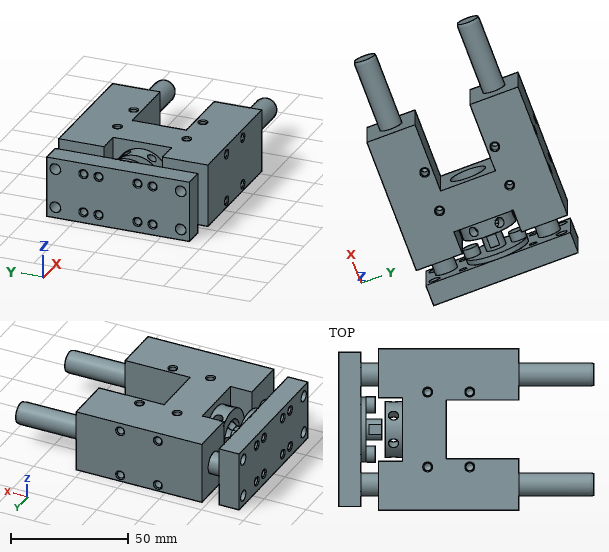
import cadquery as cq
import math


plate_thickness = 9.5
plate_width = 66.0
plate_height = 28.0
plate_bottom = -plate_height / 2

corner_hole_diameter = 4.92
corner_hole_y = 29.0
tapped_hole_ys = (9.0, 16.0)
plate_hole_z = 9.0

rod_diameter = 10.0
rod_offset = 23.5
rod_end = 109.0
rod_chamfer_length = 1.4
rod_chamfer_depth = 0.3

flange_diameter = 27.8
flange_thickness = 2.2
screw_head_diameter = 7.0
screw_head_height = 4.0
screw_offset = 10.5
stub_diameter = 9.0
stub_end = 18.5
stub_across_flats = 8.0
stub_flats_start = 13.0

block_start = 17.0
block_length = 60.0
block_width = 69.0
block_height = 29.0
block_end = block_start + block_length
block_top = plate_bottom + block_height

nut_recess_depth = 10.2
nut_recess_width = 27.0
cylinder_slot_start = 46.0
cylinder_slot_width = 25.0

nut_diameter = 24.0
nut_bore_diameter = 14.38
web_bore_diameter = 16.0
nut_length = 7.3
nut_hole_diameter = 4.2
nut_hole_count = 6
nut_hole_position = 3.55

mount_hole_xs = (38.0, 56.0)
top_mount_hole_y = 16.0
side_mount_hole_z = 11.0
mount_hole_depth = 8.0

thread_core_diameter = 3.24
thread_mouth_diameter = 4.2
thread_chamfer = (thread_mouth_diameter - thread_core_diameter) / 2
drill_point_angle = 118.0

flange_end = plate_thickness + flange_thickness
recess_floor = block_start + nut_recess_depth
nut_start = recess_floor - nut_length

x_direction = cq.Vector(1, 0, 0)


def box(x_start, x_end, width, bottom, top):
    """Box centred on Y = 0."""
    size = (x_end - x_start, width, top - bottom)
    corner = cq.Vector(x_start, -width / 2, bottom)
    return cq.Workplane(cq.Solid.makeBox(*size, corner))


def cylinder_x(diameter, x_start, x_end, y=0.0, z=0.0):
    """Cylinder along X."""
    base = cq.Vector(x_start, y, z)
    return cq.Workplane(cq.Solid.makeCylinder(diameter / 2, x_end - x_start, base, x_direction))


def tapped_hole(point, direction, depth, blind):
    """Cutter with a chamfered mouth, and a drill point if the hole is blind."""
    core_radius = thread_core_diameter / 2
    mouth_radius = thread_mouth_diameter / 2
    start = cq.Vector(*point)
    axis = cq.Vector(*direction)
    core = cq.Solid.makeCylinder(core_radius, depth, start, axis)
    mouth = cq.Solid.makeCone(mouth_radius, core_radius, thread_chamfer, start, axis)
    cutter = cq.Workplane(core).union(cq.Workplane(mouth))
    if blind:
        tip_length = core_radius / math.tan(math.radians(drill_point_angle / 2))
        tip = cq.Solid.makeCone(core_radius, 0, tip_length, start + axis * depth, axis)
        cutter = cutter.union(cq.Workplane(tip))
    return cutter


def guide_rod(y):
    """Rod from the back of the plate, with a slender chamfer at its free end."""
    radius = rod_diameter / 2
    profile = [
        (plate_thickness, 0),
        (plate_thickness, radius),
        (rod_end - rod_chamfer_length, radius),
        (rod_end, radius - rod_chamfer_depth),
        (rod_end, 0),
    ]
    rod = cq.Workplane("XY").polyline(profile).close().revolve(360, (0, 0, 0), (1, 0, 0))
    return rod.translate((0, y, 0))


def tool_plate():
    plate = box(0, plate_thickness, plate_width, plate_bottom, plate_bottom + plate_height)
    for z in (-plate_hole_z, plate_hole_z):
        for side in (-1, 1):
            corner_y = side * corner_hole_y
            plate = plate.cut(cylinder_x(corner_hole_diameter, 0, plate_thickness, corner_y, z))
            for y in tapped_hole_ys:
                plate = plate.cut(tapped_hole((0, side * y, z), (1, 0, 0), plate_thickness, False))
    return plate


def rod_coupling():
    """Flange with two screw heads and a stub that has two wrench flats."""
    coupling = cylinder_x(flange_diameter, plate_thickness, flange_end)
    for y in (-screw_offset, screw_offset):
        head_end = flange_end + screw_head_height
        coupling = coupling.union(cylinder_x(screw_head_diameter, flange_end, head_end, y))
    half_flats = stub_across_flats / 2
    round_part = cylinder_x(stub_diameter, flange_end, stub_flats_start)
    flat_part = cylinder_x(stub_diameter, stub_flats_start, stub_end).intersect(
        box(stub_flats_start, stub_end, stub_diameter, -half_flats, half_flats)
    )
    return coupling.union(round_part).union(flat_part)


def make_carriage():
    carriage = tool_plate().union(rod_coupling())
    for y in (-rod_offset, rod_offset):
        carriage = carriage.union(guide_rod(y))
    return carriage


def cylinder_nut():
    """Ring in the front recess with evenly spaced radial spanner holes."""
    nut = cylinder_x(nut_diameter, nut_start, recess_floor)
    hole_x = nut_start + nut_hole_position
    hole_step = 360 / nut_hole_count
    for index in range(nut_hole_count):
        angle = math.radians(index * hole_step)
        direction = cq.Vector(0, math.cos(angle), math.sin(angle))
        hole = cq.Solid.makeCylinder(
            nut_hole_diameter / 2, nut_diameter, cq.Vector(hole_x, 0, 0), direction
        )
        nut = nut.cut(cq.Workplane(hole))
    return nut


def cut_mount_holes(block):
    """Blind tapped holes in the top, the bottom and both long sides."""
    half_width = block_width / 2
    for x in mount_hole_xs:
        for side in (-1, 1):
            top_point = (x, side * top_mount_hole_y, block_top)
            bottom_point = (x, side * top_mount_hole_y, plate_bottom)
            block = block.cut(tapped_hole(top_point, (0, 0, -1), mount_hole_depth, True))
            block = block.cut(tapped_hole(bottom_point, (0, 0, 1), mount_hole_depth, True))
            for z in (-side_mount_hole_z, side_mount_hole_z):
                point = (x, side * half_width, z)
                block = block.cut(tapped_hole(point, (0, -side, 0), mount_hole_depth, True))
    return block


def make_guide_block():
    block = box(block_start, block_end, block_width, plate_bottom, block_top)
    block = block.cut(box(block_start, recess_floor, nut_recess_width, plate_bottom, block_top))
    block = block.cut(box(cylinder_slot_start, block_end, cylinder_slot_width, plate_bottom, block_top))
    for y in (-rod_offset, rod_offset):
        block = block.cut(cylinder_x(rod_diameter, block_start, block_end, y))
    block = cut_mount_holes(block)
    block = block.union(cylinder_nut())
    block = block.cut(cylinder_x(nut_bore_diameter, nut_start, recess_floor))
    return block.cut(cylinder_x(web_bore_diameter, recess_floor, cylinder_slot_start))


carriage = make_carriage()
guide_block = make_guide_block()

result = cq.Compound.makeCompound([carriage.val(), guide_block.val()])